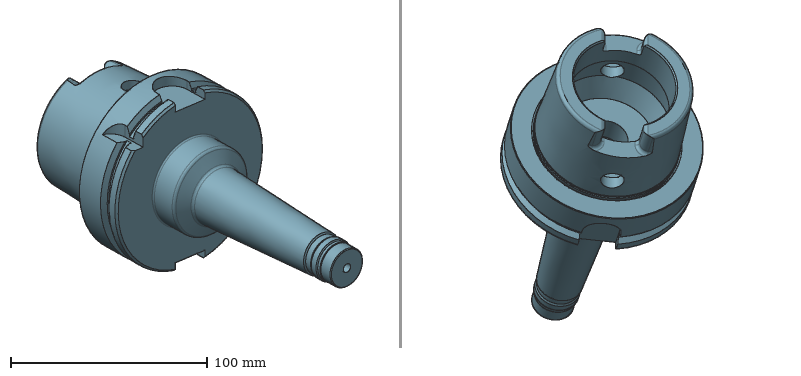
import cadquery as cq
import math


shank_length = 50
taper_rate = 1 / 20
gauge_radius = 75.013 / 2
gauge_x = -10
shank_end_round = 2
relief_x = -2.5
relief_radius = 75.42 / 2
relief_step = 0.6
collar_radius = 38.1
face_recess_radius = 39
face_recess_depth = 0.8

flange_radius = 50
flange_length = 29
flange_front_chamfer = 0.4
flange_back_chamfer = 1.2
groove_x = 20
groove_floor_radius = 46
groove_wall_radius = 47
groove_floor_half_width = 1.55
groove_mouth_half_width = 3.3

hub_radius = 25
hub_root_round = 0.8
hub_end_x = 44.7
hub_cone_angle = 60
cone_round = 2
neck_base_radius = 16.25
neck_end_radius = 12.1
neck_end_x = 130.3

nose_radius = 22.38 / 2
nose_end_x = 150
nose_chamfer = 0.5
ring_radius = 11.8
ring_start_x = 134.7
ring_end_x = 140.2
ring_chamfer = 0.6
ring_start_slope = 1.2
tip_radius = 11
tip_start_x = 142

bore_radius = 53 / 2
bore_mouth_chamfer = 0.8
bore_end_x = -30.5
chamber_radius = 63 / 2
chamber_end_x = -10
floor_radius = 25
floor_cone_angle = 30
floor_x = chamber_end_x + (chamber_radius - floor_radius) / math.tan(math.radians(floor_cone_angle))
thread_radius = 22.38 / 2
thread_depth = 14
coolant_radius = 4.92 / 2
coolant_mouth_radius = 8.6 / 2
access_hole_diameter = 12
access_hole_x = -15.2

notch_half_width = 10
notch_round = 2
notch_shoulder_z = 32.1
notch_shoulder_round = 4.5
upper_notch_depth = 10
lower_notch_depth = 15

slot_end_x = 5
slot_end_radius = 10
slot_floor_z = 44
mark_wall_y = -31.9
mark_floor_z = 31.5


def taper_radius(x):
    return gauge_radius + taper_rate * (x - gauge_x)


def revolve_about_x(profile):
    return profile.close().revolve(360, (0, 0, 0), (1, 0, 0))


def make_shank_and_flange():
    end_x = -shank_length
    profile = (
        cq.Workplane("XY")
        .moveTo(end_x, 0)
        .lineTo(end_x, taper_radius(end_x))
        .lineTo(relief_x, taper_radius(relief_x))
        .lineTo(relief_x + relief_step, relief_radius)
        .lineTo(relief_x + 2 * relief_step, relief_radius)
        .lineTo(relief_x + 3 * relief_step, collar_radius)
        .lineTo(face_recess_depth, collar_radius)
        .lineTo(face_recess_depth, face_recess_radius)
        .lineTo(0, face_recess_radius)
        .lineTo(0, flange_radius - flange_front_chamfer)
        .lineTo(flange_front_chamfer, flange_radius)
        .lineTo(groove_x - groove_mouth_half_width, flange_radius)
        .lineTo(groove_x - groove_floor_half_width, groove_wall_radius)
        .lineTo(groove_x - groove_floor_half_width, groove_floor_radius)
        .lineTo(groove_x + groove_floor_half_width, groove_floor_radius)
        .lineTo(groove_x + groove_floor_half_width, groove_wall_radius)
        .lineTo(groove_x + groove_mouth_half_width, flange_radius)
        .lineTo(flange_length - flange_back_chamfer, flange_radius)
        .lineTo(flange_length, flange_radius - flange_back_chamfer)
        .lineTo(flange_length, 0)
    )
    body = revolve_about_x(profile)
    return body.faces("<X").edges().fillet(shank_end_round)


def make_neck():
    cone_end_x = hub_end_x + (hub_radius - neck_base_radius) / math.tan(math.radians(hub_cone_angle))
    profile = (
        cq.Workplane("XY")
        .moveTo(flange_length, 0)
        .lineTo(flange_length, hub_radius)
        .lineTo(hub_end_x, hub_radius)
        .lineTo(cone_end_x, neck_base_radius)
        .lineTo(neck_end_x, neck_end_radius)
        .lineTo(neck_end_x + ring_chamfer, nose_radius)
        .lineTo(ring_start_x, nose_radius)
        .lineTo(ring_start_x + ring_start_slope, ring_radius)
        .lineTo(ring_end_x - ring_chamfer, ring_radius)
        .lineTo(ring_end_x, nose_radius)
        .lineTo(tip_start_x, nose_radius)
        .lineTo(tip_start_x + nose_chamfer, tip_radius)
        .lineTo(nose_end_x - nose_chamfer, tip_radius)
        .lineTo(nose_end_x, tip_radius - nose_chamfer)
        .lineTo(nose_end_x, 0)
    )
    cone_ends = cq.selectors.BoxSelector(
        (hub_end_x - 1, -flange_radius, -flange_radius),
        (cone_end_x + 1, flange_radius, flange_radius),
    )
    return revolve_about_x(profile).edges(cone_ends).fillet(cone_round)


def round_hub_root(body):
    root = cq.selectors.RadiusNthSelector(0)
    return body.faces(cq.selectors.BoxSelector(
        (flange_length - 0.1, -flange_radius, -flange_radius),
        (flange_length + 0.1, flange_radius, flange_radius),
    )).edges(root).fillet(hub_root_round)


def make_cavity():
    end_x = -shank_length
    profile = (
        cq.Workplane("XY")
        .moveTo(end_x, 0)
        .lineTo(end_x, bore_radius + bore_mouth_chamfer)
        .lineTo(end_x + bore_mouth_chamfer, bore_radius)
        .lineTo(bore_end_x, bore_radius)
        .lineTo(bore_end_x, chamber_radius)
        .lineTo(chamber_end_x, chamber_radius)
        .lineTo(floor_x, floor_radius)
        .lineTo(floor_x, thread_radius)
        .lineTo(floor_x + thread_depth, thread_radius)
        .lineTo(floor_x + thread_depth, coolant_mouth_radius)
        .lineTo(floor_x + thread_depth + coolant_mouth_radius - coolant_radius, coolant_radius)
        .lineTo(nose_end_x, coolant_radius)
        .lineTo(nose_end_x, 0)
    )
    return revolve_about_x(profile)


def make_access_hole():
    return (
        cq.Workplane("XY")
        .center(access_hole_x, 0)
        .circle(access_hole_diameter / 2)
        .extrude(flange_radius, both=True)
    )


def make_notch(depth):
    """Notch open to +Z whose walls flare outwards over an arc into flat shoulders."""
    arc_centre_y = notch_half_width + notch_shoulder_round
    arc_centre_z = notch_shoulder_z - notch_shoulder_round
    arc_reach = notch_shoulder_round * math.sqrt(0.5)
    middle_y = arc_centre_y - arc_reach
    middle_z = arc_centre_z + arc_reach
    end_x = -shank_length
    slot = (
        cq.Workplane("YZ", origin=(end_x, 0, 0))
        .moveTo(-notch_half_width, 0)
        .lineTo(notch_half_width, 0)
        .lineTo(notch_half_width, arc_centre_z)
        .threePointArc((middle_y, middle_z), (arc_centre_y, notch_shoulder_z))
        .lineTo(flange_radius, notch_shoulder_z)
        .lineTo(flange_radius, flange_radius)
        .lineTo(-flange_radius, flange_radius)
        .lineTo(-flange_radius, notch_shoulder_z)
        .lineTo(-arc_centre_y, notch_shoulder_z)
        .threePointArc((-middle_y, middle_z), (-notch_half_width, arc_centre_z))
        .close()
        .extrude(depth)
    )
    wall_feet = cq.selectors.BoxSelector(
        (end_x + depth - 0.1, -flange_radius + 1, 1),
        (end_x + depth + 0.1, flange_radius - 1, flange_radius - 1),
    )
    slot = slot.edges(wall_feet).fillet(notch_round)
    reach = notch_round * (1 - math.sqrt(0.5))
    mouth_y = notch_half_width + notch_round
    mouth = (
        cq.Workplane("XY")
        .moveTo(end_x, -mouth_y)
        .lineTo(end_x, mouth_y)
        .threePointArc((end_x + reach, notch_half_width + reach), (end_x + notch_round, notch_half_width))
        .lineTo(end_x + notch_round, -notch_half_width)
        .threePointArc((end_x + reach, -notch_half_width - reach), (end_x, -mouth_y))
        .close()
        .extrude(flange_radius)
    )
    return slot.union(mouth)


def make_rim_slot(centre_y, floor_z):
    """Slot open to +X and +Z with a half-round end."""
    centre_x = slot_end_x + slot_end_radius
    return (
        cq.Workplane("XY", origin=(0, centre_y, floor_z))
        .moveTo(flange_length, -slot_end_radius)
        .lineTo(flange_length, slot_end_radius)
        .lineTo(centre_x, slot_end_radius)
        .threePointArc((slot_end_x, 0), (centre_x, -slot_end_radius))
        .close()
        .extrude(flange_radius)
    )


def turn_over(cutter):
    return cutter.rotate((0, 0, 0), (1, 0, 0), 180)


result = round_hub_root(make_shank_and_flange().union(make_neck()))
result = result.cut(make_cavity()).cut(make_access_hole())
result = result.cut(make_notch(upper_notch_depth)).cut(turn_over(make_notch(lower_notch_depth)))
drive_slot = make_rim_slot(0, slot_floor_z)
result = result.cut(drive_slot).cut(turn_over(drive_slot))
result = result.cut(make_rim_slot(mark_wall_y - slot_end_radius, mark_floor_z))